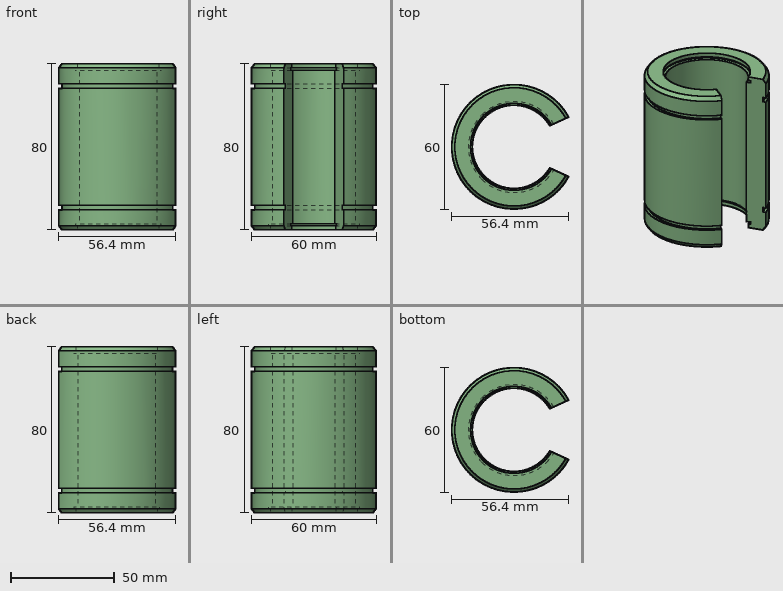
import cadquery as cq
import math

length = 80.0
outer_radius = 30.0
bore_radius = 20.0

chamfer_height = 2.0
chamfer_depth = 1.5

groove_offset = 9.7
groove_width = 2.2
groove_depth = 1.5

counterbore_radius = 21.0
counterbore_depth = 3.0

undercut_radius = 22.0
undercut_width = 1.0

opening_half_angle = 25.0
opening_apex_offset = 4.4


def ring(outer, inner, height):
    return cq.Workplane("XY").circle(outer).circle(inner).extrude(height)


def sleeve_blank():
    half = length / 2
    end_radius = outer_radius - chamfer_depth
    shoulder = half - chamfer_height
    profile = [
        (bore_radius, -half),
        (end_radius, -half),
        (outer_radius, -shoulder),
        (outer_radius, shoulder),
        (end_radius, half),
        (bore_radius, half),
    ]
    return cq.Workplane("XZ").polyline(profile).close().revolve(360, (0, 0), (0, 1))


def top_end_cuts():
    groove_floor = outer_radius - groove_depth
    groove_bottom = length / 2 - groove_offset - groove_width
    groove = ring(2 * outer_radius, groove_floor, groove_width).translate((0, 0, groove_bottom))
    counterbore_floor = length / 2 - counterbore_depth
    floor_plane = cq.Workplane("XY").workplane(offset=counterbore_floor)
    counterbore = floor_plane.circle(counterbore_radius).extrude(counterbore_depth)
    undercut = floor_plane.circle(undercut_radius).extrude(undercut_width)
    return groove.add(counterbore.union(undercut)).combine()


def opening_wedge():
    reach = 2 * outer_radius
    half_width = reach * math.tan(math.radians(opening_half_angle))
    far_x = reach - opening_apex_offset
    return (
        cq.Workplane("XY")
        .polyline([(-opening_apex_offset, 0), (far_x, -half_width), (far_x, half_width)])
        .close()
        .extrude(length / 2, both=True)
    )


end_cuts = top_end_cuts()
result = sleeve_blank().cut(end_cuts).cut(end_cuts.mirror("XY")).cut(opening_wedge())